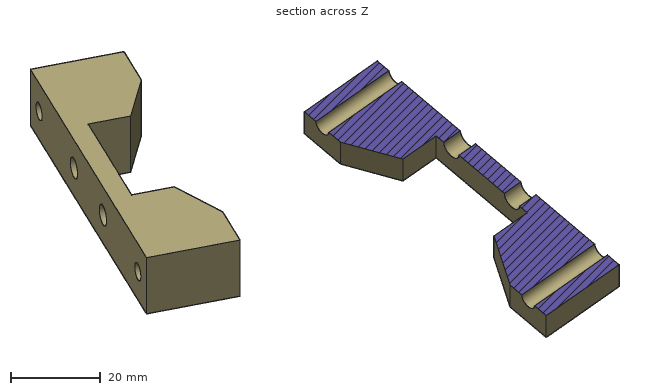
import cadquery as cq

length = 80.0
depth = 22.0
height = 15.0

recess_width = 30.0
web_thickness = 5.0
end_flat = 12.0
bevel_depth = 7.0

outer_hole_diameter = 4.2
outer_hole_spacing = 68.0
inner_hole_diameter = 5.0
inner_hole_spacing = 20.0


def bracket_body():
    """U-shaped outline in XY with bevelled inner corners, extruded along Z."""
    half_length = length / 2
    half_recess = recess_width / 2
    bevel_start = half_length - end_flat
    bevel_end_y = depth - bevel_depth
    outline = [
        (-half_length, 0),
        (half_length, 0),
        (half_length, depth),
        (bevel_start, depth),
        (half_recess, bevel_end_y),
        (half_recess, web_thickness),
        (-half_recess, web_thickness),
        (-half_recess, bevel_end_y),
        (-bevel_start, depth),
        (-half_length, depth),
    ]
    return cq.Workplane("XY").polyline(outline).close().extrude(height)


def hole_pair(diameter, spacing):
    """Two cylinders along Y through the full depth, symmetric about the middle."""
    centers = [(-spacing / 2, height / 2), (spacing / 2, height / 2)]
    return cq.Workplane("XZ").pushPoints(centers).circle(diameter / 2).extrude(-depth)


result = (
    bracket_body()
    .cut(hole_pair(outer_hole_diameter, outer_hole_spacing))
    .cut(hole_pair(inner_hole_diameter, inner_hole_spacing))
)